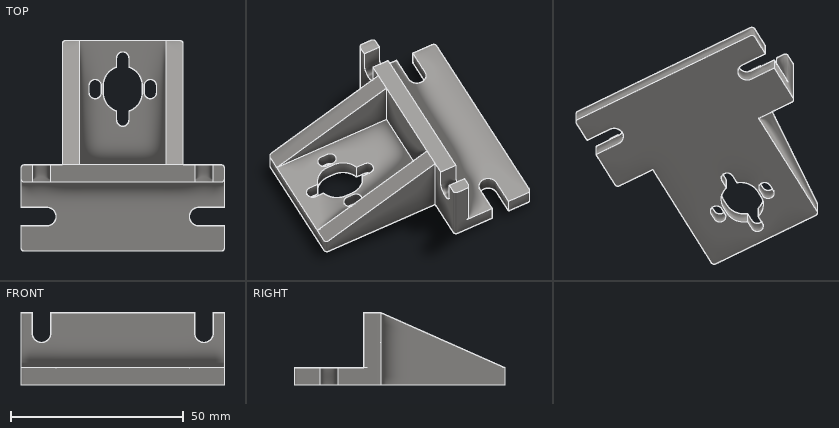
import cadquery as cq

width = 59.0
length = 61.0
height = 21.0
thickness = 5.0
corner_radius = 1.0

flange_depth = 20.0
shelf_width = 35.0
wall_back = thickness
shelf_back = length - flange_depth

slot_width = 5.3
flange_slot_reach = 7.5
flange_slot_y = -flange_depth / 2
wall_slot_inset = 6.0
wall_slot_reach = 6.0

opening_setback = 14.1
opening_y = shelf_back - opening_setback
travel = 2.0
bore_diameter = 11.2
screw_diameter = 3.5
side_screw_offset = 8.0
end_screw_span = 16.0


def block(x_size, y_min, y_max, z_size):
    """Box centred on X, standing on Z = 0."""
    return cq.Workplane("XY").box(
        x_size, y_max - y_min, z_size, centered=(True, False, False)
    ).translate((0, y_min, 0))


def shelf_slot(x, total_length, slot_diameter):
    """Cutter for a through slot along Y in the shelf."""
    return (
        cq.Workplane("XY")
        .center(x, opening_y)
        .slot2D(total_length, slot_diameter, 90)
        .extrude(thickness)
    )


def make_shelf():
    """Rear shelf with a sloping rib along each side."""
    profile = (
        cq.Workplane("YZ")
        .moveTo(wall_back, 0)
        .lineTo(shelf_back, 0)
        .lineTo(shelf_back, thickness)
        .lineTo(wall_back, height)
        .close()
        .extrude(shelf_width / 2, both=True)
    )
    rib_gap = (
        block(shelf_width - 2 * thickness, wall_back, shelf_back, height - thickness)
        .translate((0, 0, thickness))
    )
    return profile.edges("|Z and >Y").fillet(corner_radius).cut(rib_gap)


flange = block(width, -flange_depth, wall_back, thickness).edges("|Z").fillet(corner_radius)
wall = block(width, 0, wall_back, height).edges("|Z").fillet(corner_radius)
result = flange.union(wall).union(make_shelf())

for side in (-1, 1):
    flange_slot = (
        cq.Workplane("XY")
        .center(side * width / 2, flange_slot_y)
        .slot2D(2 * flange_slot_reach + slot_width, slot_width)
        .extrude(thickness)
    )
    wall_slot = (
        cq.Workplane("XZ")
        .center(side * (width / 2 - wall_slot_inset), height)
        .slot2D(2 * wall_slot_reach + slot_width, slot_width, 90)
        .extrude(-wall_back)
    )
    result = result.cut(flange_slot).cut(wall_slot)

result = result.cut(shelf_slot(0, bore_diameter + travel, bore_diameter))
result = result.cut(shelf_slot(0, end_screw_span + travel + screw_diameter, screw_diameter))
for side in (-1, 1):
    result = result.cut(shelf_slot(side * side_screw_offset, screw_diameter + travel, screw_diameter))